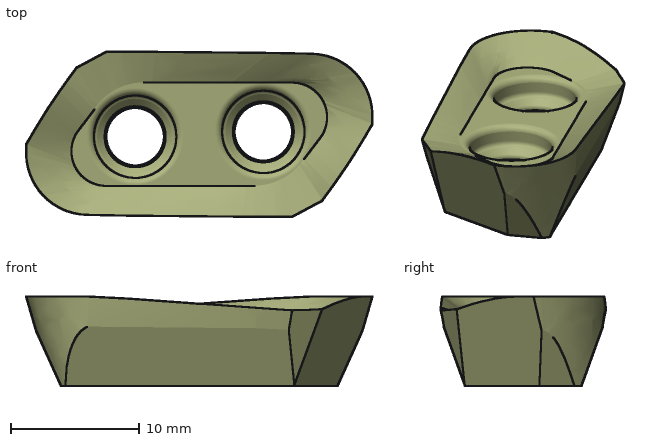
import cadquery as cq
import math

height = 7.0
half_length = 13.5

lower_flanks = {
    "end": (0.0, 10.77, 24.3),
    "oblique": (-30.3, 8.67, 20.3),
    "corner": (-61.4, 7.53, 15.0),
    "side": (-90.0, 4.54, 19.8),
}

nose_radius_top = 4.85
nose_side_top = 6.3
nose_base = [(-11.48, -1.78), (-10.31, -4.7), (-8.9, -6.02)]
side_bend_x = 4.43
side_bend_y_top = 6.6
side_bend_y_base = 5.37
side_end_y_top = 6.83
side_end_y_base = 4.78

floor_z = 5.35
floor_half_width = 4.02
floor_end_angle = 57.0
floor_obtuse_radius = 4.6
floor_obtuse_center_x = 4.32
floor_acute_radius = 2.7
floor_acute_center_x = 7.25
floor_acute_angles = [90 + floor_end_angle, 153, 201, 211, 270]
floor_obtuse_angles = [270, 287, 297, 306, 311, 320, 270 + floor_end_angle]
floor_side_x = [-floor_acute_center_x, -4.75, -2.56, 3.67, floor_obtuse_center_x]
floor_oblique_split = 0.42

nose_first_angle = 180
nose_last_angle = 270
nose_split_angle = 223
side_edge = [(-5.55, -6.35, 6.83), (3.38, -6.43, 6.18), (4.2, -6.45, 6.13), (6.1, -6.45, 6.0)]
corner_edge = [(7.24, -6.45, 5.9), (8.13, -5.9, 5.95), (8.59, -5.65, 5.95)]
oblique_start = (9.58, -5.1)
oblique_drop = 1.0
oblique_peak_y = 0.8
oblique_split_y = [-4.02, -3.25, -2.08, -1.5]

hole_x = 5.0
hole_y = 0.2
bore_radius = 2.25
wall_radius = 3.2
rim_radius = 0.57
rim_depth = 0.45
wall_bottom_z = 4.1
seat_top = (2.95, 3.7)
seat_bottom = (2.48, 3.27)
lip_radius = 2.38
lip_top_z = 3.02
lip_bottom_z = 2.92
bore_top_z = 2.78

big = 4 * half_length
rake_overrun = 1.25
flat_tolerance = 7.29e-08
rake_cutter_top = 2 * height


def half_turn(point):
    """Rotate a point half a turn about Z."""
    return (-point[0], -point[1], *point[2:])


def polar(center, radius, degrees):
    angle = math.radians(degrees)
    return (center[0] + radius * math.cos(angle), center[1] + radius * math.sin(angle))


def upper_outline(z, nose, bend_y, end_y):
    """Closed outline of the upper flank band at one height; nose holds three points of its arc."""
    nose_start, nose_middle, nose_end = nose
    side_bend = (side_bend_x, -bend_y)
    side_end = (-nose_start[0], -end_y)
    outline = cq.Workplane("XY", origin=(0, 0, z)).moveTo(*nose_start)
    outline = outline.threePointArc(nose_middle, nose_end).lineTo(*side_bend).lineTo(*side_end)
    outline = outline.lineTo(*half_turn(nose_start))
    outline = outline.threePointArc(half_turn(nose_middle), half_turn(nose_end))
    outline = outline.lineTo(*half_turn(side_bend)).lineTo(*half_turn(side_end)).close()
    return outline.val()


def make_upper_band():
    nose_top = [point[:2] for point in nose_edge(nose_first_angle, nose_last_angle)]
    base = upper_outline(0, nose_base, side_bend_y_base, side_end_y_base)
    top = upper_outline(height, nose_top, side_bend_y_top, side_end_y_top)
    return cq.Workplane(cq.Solid.makeLoft([base, top], True))


def flank_block(azimuth, distance, relief):
    """Everything outside one inclined flank plane."""
    turn = math.radians(azimuth)
    lean = math.radians(relief)
    across = (math.cos(turn), math.sin(turn))
    normal = (across[0] * math.cos(lean), across[1] * math.cos(lean), -math.sin(lean))
    origin = (across[0] * distance, across[1] * distance, 0)
    plane = cq.Plane(origin=origin, xDir=(-across[1], across[0], 0), normal=normal)
    return cq.Workplane(plane).rect(big, big).extrude(big)


def straight(start, end):
    """Three points along a straight path."""
    middle = tuple((a + b) / 2 for a, b in zip(start, end))
    return [start, middle, end]


def arc(center, radius, start_angle, end_angle, z):
    """Three points along a level arc."""
    angles = (start_angle, (start_angle + end_angle) / 2, end_angle)
    return [(*polar(center, radius, angle), z) for angle in angles]


def floor_acute(start_angle, end_angle):
    center = (-floor_acute_center_x, floor_acute_radius - floor_half_width)
    return arc(center, floor_acute_radius, start_angle, end_angle, floor_z)


def floor_obtuse(start_angle, end_angle):
    center = (floor_obtuse_center_x, floor_obtuse_radius - floor_half_width)
    return arc(center, floor_obtuse_radius, start_angle, end_angle, floor_z)


def floor_side(start_x, end_x):
    return straight((start_x, -floor_half_width, floor_z), (end_x, -floor_half_width, floor_z))


def floor_oblique(start_share, end_share):
    """Part of the straight oblique end of the floor, between its two rounded corners."""
    start = floor_obtuse(floor_obtuse_angles[0], floor_obtuse_angles[-1])[-1]
    end = half_turn(floor_acute(floor_acute_angles[0], floor_acute_angles[-1])[0])
    shares = (start_share, (start_share + end_share) / 2, end_share)
    return [tuple(a + share * (b - a) for a, b in zip(start, end)) for share in shares]


def nose_edge(start_angle, end_angle):
    center = (nose_radius_top - half_length, nose_radius_top - nose_side_top)
    return arc(center, nose_radius_top, start_angle, end_angle, height)


def oblique_edge(start_y, end_y):
    """Part of the cutting edge on the oblique side, rising along a parabola to its peak."""
    length_y = oblique_peak_y - oblique_start[1]
    points = []
    for y in (start_y, (start_y + end_y) / 2, end_y):
        share = (oblique_peak_y - y) / length_y
        x = half_length - share * (half_length - oblique_start[0])
        points.append((x, y, height - oblique_drop * share**2))
    return points


def make_edge(path):
    start, middle, end = (cq.Vector(*point) for point in path)
    bend = (middle - start).cross(end - middle).Length
    if bend < flat_tolerance:
        return cq.Edge.makeLine(start, end)
    return cq.Edge.makeThreePointArc(start, middle, end)


def chain(path, stations):
    """Join neighbouring stations with the given kind of path."""
    return [path(start, end) for start, end in zip(stations, stations[1:])]


def turn_path(path):
    return [half_turn(point) for point in path]


def rake_spans():
    """Pairs of paths, on the floor and on the cutting edge, that each carry one rake face."""
    nose = chain(nose_edge, [nose_first_angle, nose_split_angle, nose_last_angle])
    oblique = chain(oblique_edge, [oblique_start[1], *oblique_split_y, oblique_peak_y])
    peak = half_turn(oblique[-1][-1])
    side = chain(straight, [nose[-1][-1], *side_edge, *corner_edge, oblique[0][0]])

    floor_path = chain(floor_acute, floor_acute_angles[2:])
    floor_path += chain(floor_side, floor_side_x)
    floor_path += chain(floor_obtuse, floor_obtuse_angles)
    floor_path += chain(floor_oblique, [0, floor_oblique_split, 1])
    for path in chain(floor_acute, floor_acute_angles[:3]):
        floor_path.append(turn_path(path))

    edge_path = [straight(peak, nose[0][0]), *nose, *side, *oblique]
    half = list(zip(floor_path, edge_path))
    other_half = [(turn_path(low), turn_path(high)) for low, high in half]
    return half + other_half


def make_rake_cutter():
    """Everything above the floor and the twisted rake faces that climb to the cutting edge."""
    floor_edges = []
    roof_edges = []
    faces = []
    for low, high in rake_spans():
        outer = [tuple(a + rake_overrun * (b - a) for a, b in zip(p, q)) for p, q in zip(low, high)]
        roof = [(x, y, rake_cutter_top) for x, y, z in outer]
        low_edge, outer_edge, roof_edge = make_edge(low), make_edge(outer), make_edge(roof)
        faces.append(cq.Face.makeRuledSurface(low_edge, outer_edge))
        faces.append(cq.Face.makeRuledSurface(outer_edge, roof_edge))
        floor_edges.append(low_edge)
        roof_edges.append(roof_edge)
    for edges in (floor_edges, roof_edges):
        faces.append(cq.Face.makeFromWires(cq.Wire.assembleEdges(edges)))
    return cq.Workplane(cq.Solid.makeSolid(cq.Shell.makeShell(faces)).fix())


def make_hole(x, y):
    """Revolved cutter: rounded rim, straight wall, conical screw seat and bore."""
    profile = cq.Workplane("XZ").moveTo(0, floor_z).lineTo(wall_radius + rim_radius, floor_z)
    profile = profile.radiusArc((wall_radius, floor_z - rim_depth), -rim_radius)
    profile = profile.lineTo(wall_radius, wall_bottom_z).tangentArcPoint(seat_top, relative=False)
    profile = profile.lineTo(*seat_bottom).tangentArcPoint((lip_radius, lip_top_z), relative=False)
    profile = profile.lineTo(lip_radius, lip_bottom_z).lineTo(bore_radius, bore_top_z)
    profile = profile.lineTo(bore_radius, 0).lineTo(0, 0).close()
    return profile.revolve(360, (0, 0, 0), (0, 1, 0)).translate((x, y, 0))


result = make_upper_band()
for azimuth, distance, relief in lower_flanks.values():
    for turned in (0, 180):
        result = result.cut(flank_block(azimuth + turned, distance, relief))
result = result.cut(make_rake_cutter())
for center in ((hole_x, hole_y), (-hole_x, -hole_y)):
    result = result.cut(make_hole(*center))